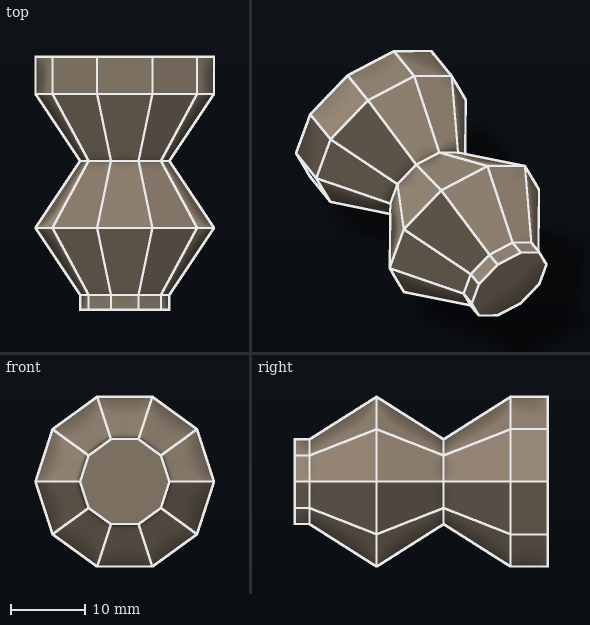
import cadquery as cq

side_count = 10
total_length = 34.0
wide_diameter = 24.0
narrow_diameter = wide_diameter / 2
base_length = 5.0
tip_length = 2.0

taper_length = (total_length - base_length - tip_length) / 3

sections = [
    (base_length, wide_diameter),
    (taper_length, wide_diameter),
    (taper_length, narrow_diameter),
    (taper_length, wide_diameter),
    (tip_length, narrow_diameter),
    (0, narrow_diameter),
]


def faceted_body():
    """Join the decagon sections along -Y with flat facets, with corners on the X axis."""
    body = cq.Workplane("XZ", origin=(0, total_length / 2, 0))
    for distance_to_next, diameter in sections:
        body = body.polygon(side_count, diameter)
        if distance_to_next > 0:
            body = body.workplane(offset=distance_to_next)
    return body.loft(ruled=True)


result = faceted_body()